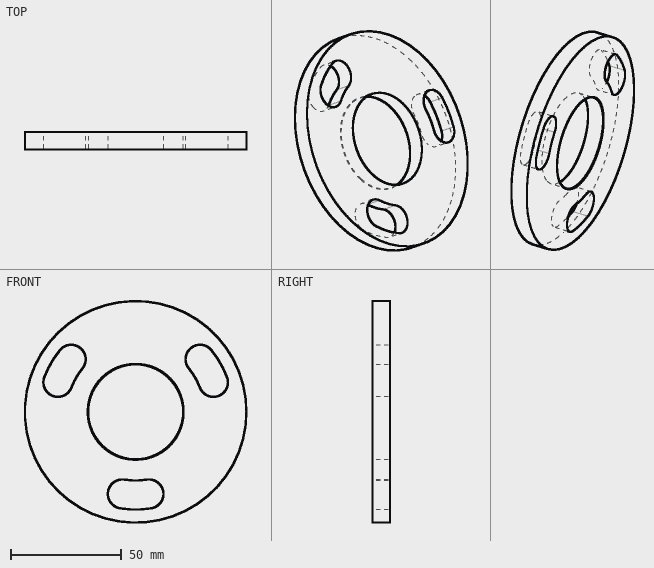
import cadquery as cq
import math

DISC_DIAMETER = 100.0
DISC_THICKNESS = 8.0
BORE_DIAMETER = 42.8
BORE_CHAMFER = 0.25
SLOT_PATH_RADIUS = 37.5
SLOT_WIDTH = 13.0
SLOT_LENGTH = 25.0
SLOT_COUNT = 3
FIRST_SLOT_ANGLE = -90.0


def polar_point(radius, angle):
    """Point at a radius and an angle in degrees around the disc axis."""
    return (radius * math.cos(math.radians(angle)), radius * math.sin(math.radians(angle)))


def back_plane():
    """Sketch plane on the +Y face; extruding from it goes toward -Y."""
    return cq.Workplane("XZ", origin=(0, DISC_THICKNESS / 2, 0))


def make_disc():
    """Flat ring in the XZ plane, its axis along Y and centred on the origin."""
    return (
        back_plane()
        .circle(DISC_DIAMETER / 2)
        .circle(BORE_DIAMETER / 2)
        .extrude(DISC_THICKNESS)
    )


def chamfer_bore(disc):
    """Break the bore edge on the -Y face."""
    bore_edge = cq.selectors.RadiusNthSelector(0)
    return disc.faces("<Y").edges(bore_edge).chamfer(BORE_CHAMFER)


def make_slot(middle_angle):
    """Curved slot following the slot path circle, with round ends."""
    end_radius = SLOT_WIDTH / 2
    inner_radius = SLOT_PATH_RADIUS - end_radius
    outer_radius = SLOT_PATH_RADIUS + end_radius
    half_span = math.degrees(math.asin((SLOT_LENGTH / 2 - end_radius) / SLOT_PATH_RADIUS))
    start = middle_angle - half_span
    end = middle_angle + half_span

    def end_cap_tip(angle, direction):
        """Furthest point of a round end, along the path from its centre."""
        centre_x, centre_z = polar_point(SLOT_PATH_RADIUS, angle)
        offset_x, offset_z = polar_point(end_radius, angle + direction * 90)
        return (centre_x + offset_x, centre_z + offset_z)

    return (
        back_plane()
        .moveTo(*polar_point(inner_radius, start))
        .threePointArc(polar_point(inner_radius, middle_angle), polar_point(inner_radius, end))
        .threePointArc(end_cap_tip(end, 1), polar_point(outer_radius, end))
        .threePointArc(polar_point(outer_radius, middle_angle), polar_point(outer_radius, start))
        .threePointArc(end_cap_tip(start, -1), polar_point(inner_radius, start))
        .close()
        .extrude(DISC_THICKNESS)
    )


result = chamfer_bore(make_disc())
for slot_index in range(SLOT_COUNT):
    result = result.cut(make_slot(FIRST_SLOT_ANGLE + slot_index * 360 / SLOT_COUNT))